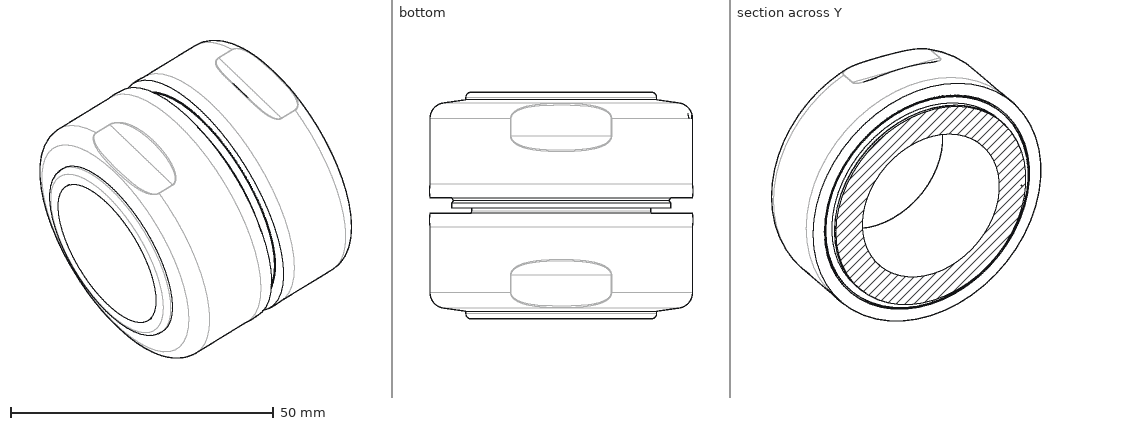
import cadquery as cq
import math


length = 43.2
bore_radius = 15.0
sleeve_radius = 18.2
sleeve_end_fillet = 1.0

nut_radius = 25.15
gap_half_width = 1.45
rim_width = 2.6
rim_bulge = 0.1
nut_outer_face = 20.15
face_slope = 8.1
nut_fillet = 3.0
face_groove_radius = 22.4
face_groove_width = 0.3
face_groove_depth = 0.3

flat_height = 23.15
flat_start = 13.3
runout_radius = 3.0
flat_edge_fillet = 0.3
selection_margin = 0.05

neck_radius = 17.1
neck_flare = 0.1
neck_flare_width = 0.4
collar_radius = 20.9
collar_top = 0.5
vee_start = -0.45
vee_depth = 0.35


def revolve_about_y(profile):
    """Close an XY profile and turn it a full circle about the Y axis."""
    return profile.close().revolve(360, (0, 0, 0), (0, 1, 0))


def make_sleeve():
    end = length / 2
    profile = cq.Workplane("XY").moveTo(0, -end).lineTo(sleeve_radius, -end)
    sleeve = revolve_about_y(profile.lineTo(sleeve_radius, end).lineTo(0, end))
    rounded = sleeve.faces("<Y or >Y").edges().fillet(sleeve_end_fillet)
    neck_gap = cq.Workplane("XZ").circle(sleeve_radius).extrude(gap_half_width, both=True)
    return rounded.cut(neck_gap)


def make_neck_and_collar():
    vee_bottom = (vee_start - gap_half_width) / 2
    profile = (
        cq.Workplane("XY")
        .moveTo(0, -gap_half_width)
        .lineTo(collar_radius, -gap_half_width)
        .lineTo(collar_radius - vee_depth, vee_bottom)
        .lineTo(collar_radius, vee_start)
        .lineTo(collar_radius, collar_top)
        .lineTo(neck_radius, collar_top)
        .lineTo(neck_radius, gap_half_width - neck_flare_width)
        .lineTo(neck_radius + neck_flare, gap_half_width)
        .lineTo(0, gap_half_width)
    )
    return revolve_about_y(profile)


def make_nut_blank():
    """Nut on the +Y side, without its flats."""
    side_radius = nut_radius - rim_bulge
    rim_end = gap_half_width + rim_width
    slope = math.radians(face_slope)
    corner_y = nut_outer_face - (side_radius - sleeve_radius) * math.tan(slope)
    tangent = nut_fillet * math.tan((math.pi / 2 - slope) / 2)
    profile = (
        cq.Workplane("XY")
        .moveTo(0, gap_half_width)
        .lineTo(side_radius, gap_half_width)
        .threePointArc((nut_radius, gap_half_width + rim_width / 2), (side_radius, rim_end))
        .lineTo(side_radius, corner_y - tangent)
        .tangentArcPoint(
            (side_radius - tangent * math.cos(slope), corner_y + tangent * math.sin(slope)),
            relative=False,
        )
        .lineTo(sleeve_radius, nut_outer_face)
        .lineTo(0, nut_outer_face)
    )
    return revolve_about_y(profile)


def make_flat_cutter():
    """Material above the +Z flat, with its concave run-out."""
    runout_z = flat_height + runout_radius
    diagonal = runout_radius * math.sqrt(0.5)
    return (
        cq.Workplane("YZ")
        .moveTo(length / 2, flat_height)
        .lineTo(flat_start, flat_height)
        .threePointArc(
            (flat_start - diagonal, runout_z - diagonal),
            (flat_start - runout_radius, runout_z),
        )
        .lineTo(length / 2, runout_z)
        .close()
        .extrude(nut_radius, both=True)
    )


def make_face_groove_cutter():
    """Ring removed from the inner face of the +Y nut."""
    return (
        cq.Workplane("XZ", origin=(0, gap_half_width + face_groove_depth, 0))
        .circle(face_groove_radius + face_groove_width / 2)
        .circle(face_groove_radius - face_groove_width / 2)
        .extrude(face_groove_depth)
    )


def add_flat(nut, cutter, side):
    """Cut one wrench flat (side is +1 for +Z, -1 for -Z) and round its outline."""
    outline_box = cq.selectors.BoxSelector(
        (-nut_radius / 2, gap_half_width + rim_width, side * (flat_height - selection_margin)),
        (nut_radius / 2, nut_outer_face, side * (nut_radius + selection_margin)),
        boundingbox=True,
    )
    not_runout_line = cq.selectors.InverseSelector(cq.selectors.ParallelDirSelector(cq.Vector(1, 0, 0)))
    return nut.cut(cutter).edges(outline_box).edges(not_runout_line).fillet(flat_edge_fillet)


def make_nut():
    cutter = make_flat_cutter()
    nut = add_flat(make_nut_blank(), cutter, 1)
    nut = add_flat(nut, cutter.mirror("XY"), -1)
    return nut.cut(make_face_groove_cutter())


nut = make_nut()
bore = cq.Workplane("XZ").circle(bore_radius).extrude(length, both=True)
result = (
    make_sleeve()
    .union(make_neck_and_collar())
    .union(nut)
    .union(nut.mirror("XZ"))
    .cut(bore)
)